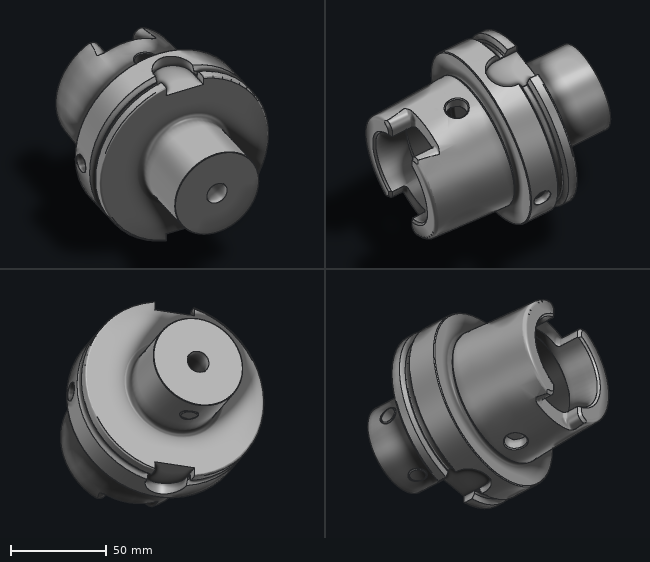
import cadquery as cq
import math


SHANK_LENGTH = 49.8
SHANK_X = -SHANK_LENGTH
TAPER_RADIUS = 38.1
TAPER_SLOPE = 1 / 20
TAPER_END_X = -2.9
RIM_FILLET = 2.0
RELIEF_RADIUS = 37.5
RELIEF_FILLET = 2.0

FLANGE_RADIUS = 50.15
FLANGE_LENGTH = 29.0
FLANGE_FRONT_CHAMFER = 0.5
FLANGE_BACK_FILLET = 1.0
GROOVE_X = 20.0
GROOVE_RADIUS = 46.0
GROOVE_WIDTH = 3.5
GROOVE_MOUTH_WIDTH = 6.7
GROOVE_FLANK_ANGLE = 60.0
GROOVE_FILLET = 0.65

END_X = 65.0
SPIGOT_RADIUS = 25.0
SPIGOT_ROOT_FILLET = 3.0
SPIGOT_CHAMFER = 0.3

BORE_RADIUS = 26.2
BORE_CHAMFER = 1.15
BORE_LENGTH = 19.7
RECESS_RADIUS = 31.0
RECESS_END_DEPTH = 39.7
RECESS_SHOULDER_ANGLE = 60.0
RECESS_TAPER_ANGLE = 30.0
DEEP_BORE_RADIUS = 26.5
FLOOR_FILLET = 1.8
SEAT_RADIUS = 11.3
SEAT_DEPTH = 8.0
SEAT_CHAMFER = 0.9
CHANNEL_RADIUS = 6.0

KEYWAY_HALF_WIDTH = 10.1
KEYWAY_CORNER_RADIUS = 5.0
KEYWAY_TOP_Z = 32.4
KEYWAY_FALL_ANGLE = 16.0
KEYWAY_FLARE_LENGTH = 5.0
KEYWAY_FLOOR_FILLET = 2.0
KEYWAY_MOUTH_CHAMFER = 1.6
KEYWAY_OVERRUN = 1.0
KEYWAY_DEPTHS = {0: 15.0, 180: 10.0}

NOTCH_WIDTH = 22.0
NOTCH_FLOOR_Z = 44.0
NOTCH_START_X = 4.75

CLAMP_HOLE_X = -14.85
CLAMP_HOLE_RADIUS = 6.0
CLAMP_HOLE_CHAMFER = 0.6
CHIP_HOLE_X = 7.1
CHIP_HOLE_RADIUS = 5.0
CHIP_HOLE_DEPTH = 4.6
CHIP_HOLE_CHAMFER = 0.2

SCREW_X = 51.1
SCREW_RADIUS = 5.0
SCREW_LENGTH = 12.0
SCREW_CHAMFER = 0.7
SCREW_HOLE_CHAMFER = 0.3
SCREW_TURNS = (-90, 180)

OUTSIDE = 60.0


def taper_radius(x):
    return TAPER_RADIUS + (x - TAPER_END_X) * TAPER_SLOPE


def turn(solid, angle):
    return solid.rotate((0, 0, 0), (1, 0, 0), angle)


def revolve_about_x(profile):
    return profile.close().revolve(360, (0, 0, 0), (1, 0, 0))


def outer_body():
    profile = (
        cq.Workplane("XZ")
        .moveTo(SHANK_X, 0)
        .lineTo(SHANK_X, taper_radius(SHANK_X))
        .lineTo(TAPER_END_X, TAPER_RADIUS)
        .lineTo(-RELIEF_FILLET, RELIEF_RADIUS)
        .radiusArc((0, RELIEF_RADIUS + RELIEF_FILLET), -RELIEF_FILLET)
        .lineTo(0, FLANGE_RADIUS - FLANGE_FRONT_CHAMFER)
        .lineTo(FLANGE_FRONT_CHAMFER, FLANGE_RADIUS)
        .lineTo(FLANGE_LENGTH, FLANGE_RADIUS)
        .lineTo(FLANGE_LENGTH, SPIGOT_RADIUS)
        .lineTo(END_X - SPIGOT_CHAMFER, SPIGOT_RADIUS)
        .lineTo(END_X, SPIGOT_RADIUS - SPIGOT_CHAMFER)
        .lineTo(END_X, 0)
    )
    body = revolve_about_x(profile)

    def circle_at(x, radius):
        return cq.selectors.BoxSelector(
            (x - 0.1, -radius - 0.1, -radius - 0.1), (x + 0.1, radius + 0.1, radius + 0.1), boundingbox=True
        )

    body = body.edges(circle_at(SHANK_X, taper_radius(SHANK_X))).fillet(RIM_FILLET)
    body = body.edges(circle_at(FLANGE_LENGTH, SPIGOT_RADIUS)).fillet(SPIGOT_ROOT_FILLET)
    return body.edges(circle_at(FLANGE_LENGTH, FLANGE_RADIUS)).fillet(FLANGE_BACK_FILLET)


def gripper_groove():
    half_mouth = GROOVE_MOUTH_WIDTH / 2
    half_width = GROOVE_WIDTH / 2
    flank_depth = (half_mouth - half_width) * math.tan(math.radians(GROOVE_FLANK_ANGLE))
    profile = (
        cq.Workplane("XZ")
        .moveTo(GROOVE_X - half_mouth, OUTSIDE)
        .lineTo(GROOVE_X - half_mouth, FLANGE_RADIUS)
        .lineTo(GROOVE_X - half_width, FLANGE_RADIUS - flank_depth)
        .lineTo(GROOVE_X - half_width, GROOVE_RADIUS + GROOVE_FILLET)
        .radiusArc((GROOVE_X - half_width + GROOVE_FILLET, GROOVE_RADIUS), -GROOVE_FILLET)
        .lineTo(GROOVE_X + half_width - GROOVE_FILLET, GROOVE_RADIUS)
        .radiusArc((GROOVE_X + half_width, GROOVE_RADIUS + GROOVE_FILLET), -GROOVE_FILLET)
        .lineTo(GROOVE_X + half_width, FLANGE_RADIUS - flank_depth)
        .lineTo(GROOVE_X + half_mouth, FLANGE_RADIUS)
        .lineTo(GROOVE_X + half_mouth, OUTSIDE)
    )
    return revolve_about_x(profile)


def inner_bores():
    shoulder_x = SHANK_X + BORE_LENGTH
    shoulder_length = (RECESS_RADIUS - BORE_RADIUS) / math.tan(math.radians(RECESS_SHOULDER_ANGLE))
    taper_x = SHANK_X + RECESS_END_DEPTH
    taper_length = (RECESS_RADIUS - DEEP_BORE_RADIUS) / math.tan(math.radians(RECESS_TAPER_ANGLE))
    taper_end = taper_x + taper_length
    floor_x = taper_end + FLOOR_FILLET
    seat_end = floor_x + SEAT_DEPTH
    profile = (
        cq.Workplane("XZ")
        .moveTo(SHANK_X, 0)
        .lineTo(SHANK_X, BORE_RADIUS + BORE_CHAMFER)
        .lineTo(SHANK_X + BORE_CHAMFER, BORE_RADIUS)
        .lineTo(shoulder_x, BORE_RADIUS)
        .lineTo(shoulder_x + shoulder_length, RECESS_RADIUS)
        .lineTo(taper_x, RECESS_RADIUS)
        .lineTo(taper_end, DEEP_BORE_RADIUS)
        .radiusArc((floor_x, DEEP_BORE_RADIUS - FLOOR_FILLET), FLOOR_FILLET)
        .lineTo(floor_x, SEAT_RADIUS + SEAT_CHAMFER)
        .lineTo(floor_x + SEAT_CHAMFER, SEAT_RADIUS)
        .lineTo(seat_end, SEAT_RADIUS)
        .lineTo(seat_end, CHANNEL_RADIUS)
        .lineTo(END_X, CHANNEL_RADIUS)
        .lineTo(END_X, 0)
    )
    return revolve_about_x(profile)


def keyway_outline(x, grow):
    """Keyway cross-section at x, with its walls and corners moved outwards by grow.

    Each wall rises straight, rounds over the rim corner and runs on tangentially, falling outwards.
    """
    half_width = KEYWAY_HALF_WIDTH + grow
    radius = KEYWAY_CORNER_RADIUS - grow
    center_y = KEYWAY_HALF_WIDTH + KEYWAY_CORNER_RADIUS
    center_z = KEYWAY_TOP_Z - KEYWAY_CORNER_RADIUS
    fall = math.radians(KEYWAY_FALL_ANGLE)
    arc_end = (center_y + radius * math.sin(fall), center_z + radius * math.cos(fall))
    arc_middle = (center_y - radius * math.sqrt(0.5), center_z + radius * math.sqrt(0.5))
    flare_end = (
        arc_end[0] + KEYWAY_FLARE_LENGTH * math.cos(fall),
        arc_end[1] - KEYWAY_FLARE_LENGTH * math.sin(fall),
    )

    def mirrored(point):
        return (-point[0], point[1])

    return (
        cq.Workplane("YZ", origin=(x, 0, 0))
        .moveTo(-half_width, 0)
        .lineTo(-half_width, center_z)
        .threePointArc(mirrored(arc_middle), mirrored(arc_end))
        .lineTo(*mirrored(flare_end))
        .lineTo(-flare_end[0], OUTSIDE)
        .lineTo(flare_end[0], OUTSIDE)
        .lineTo(*flare_end)
        .lineTo(*arc_end)
        .threePointArc(arc_middle, (half_width, center_z))
        .lineTo(half_width, 0)
        .close()
    )


def keyway_slot(depth):
    slot = keyway_outline(SHANK_X - KEYWAY_OVERRUN, 0).extrude(depth + KEYWAY_OVERRUN)
    floor_x = SHANK_X + depth
    wall_z = BORE_RADIUS / 2
    for side in (-1, 1):
        wall_foot = cq.NearestToPointSelector((floor_x, side * KEYWAY_HALF_WIDTH, wall_z))
        slot = slot.edges(wall_foot).fillet(KEYWAY_FLOOR_FILLET)
    return slot


def keyway_mouth():
    mouth = keyway_outline(SHANK_X - KEYWAY_OVERRUN, KEYWAY_MOUTH_CHAMFER + KEYWAY_OVERRUN)
    throat = keyway_outline(SHANK_X + KEYWAY_MOUTH_CHAMFER, 0)
    return cq.Workplane(cq.Solid.makeLoft([mouth.wires().val(), throat.wires().val()], True))


def flange_notch():
    radius = NOTCH_WIDTH / 2
    center_x = NOTCH_START_X + radius
    return (
        cq.Workplane("XY", origin=(0, 0, NOTCH_FLOOR_Z))
        .moveTo(FLANGE_LENGTH, -radius)
        .lineTo(center_x, -radius)
        .threePointArc((NOTCH_START_X, 0), (center_x, radius))
        .lineTo(FLANGE_LENGTH, radius)
        .close()
        .extrude(OUTSIDE - NOTCH_FLOOR_Z)
    )


def clamp_hole():
    return cq.Workplane("XY", origin=(CLAMP_HOLE_X, 0, 0)).circle(CLAMP_HOLE_RADIUS).extrude(OUTSIDE)


def clamp_hole_rim(side):
    """Selects the outer rim of the clamp hole on the +Z or -Z side."""
    reach = CLAMP_HOLE_RADIUS + 0.1
    outer_z = taper_radius(CLAMP_HOLE_X) + 1
    return cq.selectors.BoxSelector(
        (CLAMP_HOLE_X - reach, -reach, side * RECESS_RADIUS * 1.05),
        (CLAMP_HOLE_X + reach, reach, side * outer_z),
        boundingbox=True,
    )


def radial_hole(x, radius, bottom_z, surface_z, chamfer):
    """Hole along Z with a 45 degree countersink that meets the surface at surface_z."""
    wide = radius + chamfer
    profile = (
        cq.Workplane("XZ", origin=(x, 0, 0))
        .moveTo(0, bottom_z)
        .lineTo(radius, bottom_z)
        .lineTo(radius, surface_z - chamfer)
        .lineTo(wide, surface_z)
        .lineTo(wide, OUTSIDE)
        .lineTo(0, OUTSIDE)
        .close()
    )
    return profile.revolve(360, (0, 0, 0), (0, 1, 0))


def set_screw():
    return (
        cq.Workplane("XY", origin=(SCREW_X, 0, SPIGOT_RADIUS - SCREW_LENGTH))
        .circle(SCREW_RADIUS)
        .extrude(SCREW_LENGTH)
        .faces(">Z")
        .chamfer(SCREW_CHAMFER)
    )


holder = outer_body().cut(gripper_groove()).cut(inner_bores())
for angle, depth in KEYWAY_DEPTHS.items():
    holder = holder.cut(turn(keyway_slot(depth), angle)).cut(turn(keyway_mouth(), angle))
for angle in (0, 180):
    holder = holder.cut(turn(flange_notch(), angle))
    holder = holder.cut(turn(clamp_hole(), angle))
for side in (-1, 1):
    holder = holder.edges(clamp_hole_rim(side)).chamfer(CLAMP_HOLE_CHAMFER)
chip_hole = radial_hole(
    CHIP_HOLE_X, CHIP_HOLE_RADIUS, FLANGE_RADIUS - CHIP_HOLE_DEPTH, FLANGE_RADIUS, CHIP_HOLE_CHAMFER
)
holder = holder.cut(turn(chip_hole, 90))
for angle in SCREW_TURNS:
    hole = radial_hole(
        SCREW_X, SCREW_RADIUS, SPIGOT_RADIUS - SCREW_LENGTH, SPIGOT_RADIUS, SCREW_HOLE_CHAMFER
    )
    holder = holder.cut(turn(hole, angle))

set_screws = [turn(set_screw(), angle) for angle in SCREW_TURNS]

result = cq.Compound.makeCompound([holder.val(), *[screw.val() for screw in set_screws]])